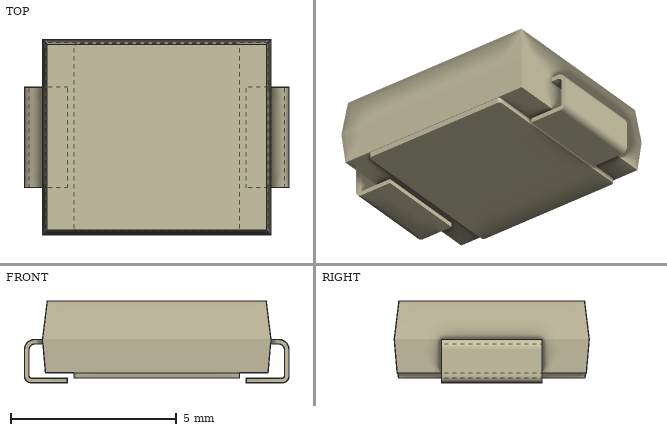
import cadquery as cq
import math

OVERALL_LENGTH = 8.0
HEIGHT = 2.48

BODY_LENGTH = 6.91
BODY_WIDTH = 5.9
PARTING_Z = 1.31
UPPER_DRAFT = 7.0
LOWER_DRAFT = 5.0

STRIP = 0.14
LEAD_WIDTH = 3.04
FOOT_LENGTH = 1.3
SHOULDER_RADIUS = 0.3
HEEL_RADIUS = 0.2
LEAD_EMBED = 0.24

PAD_LENGTH = 5.01
PAD_WIDTH = 5.7
PAD_DRAFT = 10.0
PAD_CORNER_RADIUS = 0.1
PAD_BOTTOM_Z = STRIP
BODY_BOTTOM_Z = 0.3


def body_half(end_z, draft):
    """Tapered block from the parting plane to end_z."""
    depth = end_z - PARTING_Z
    return (
        cq.Workplane("XY")
        .workplane(offset=PARTING_Z)
        .rect(BODY_LENGTH, BODY_WIDTH)
        .extrude(depth, taper=draft)
    )


def left_lead():
    """Strip leaving the body at the parting plane and curling under it."""
    outer_x = -OVERALL_LENGTH / 2
    inner_x = outer_x + STRIP
    embedded_x = -BODY_LENGTH / 2 + LEAD_EMBED
    toe_x = outer_x + FOOT_LENGTH
    shoulder_inner = SHOULDER_RADIUS - STRIP
    heel_inner = HEEL_RADIUS - STRIP
    shoulder_x = outer_x + SHOULDER_RADIUS
    shoulder_z = PARTING_Z - SHOULDER_RADIUS
    heel_x = outer_x + HEEL_RADIUS
    return (
        cq.Workplane("XZ")
        .moveTo(embedded_x, PARTING_Z)
        .lineTo(shoulder_x, PARTING_Z)
        .radiusArc((outer_x, shoulder_z), -SHOULDER_RADIUS)
        .lineTo(outer_x, HEEL_RADIUS)
        .radiusArc((heel_x, 0), -HEEL_RADIUS)
        .lineTo(toe_x, 0)
        .lineTo(toe_x, STRIP)
        .lineTo(heel_x, STRIP)
        .radiusArc((inner_x, HEEL_RADIUS), heel_inner)
        .lineTo(inner_x, shoulder_z)
        .radiusArc((shoulder_x, PARTING_Z - STRIP), shoulder_inner)
        .lineTo(embedded_x, PARTING_Z - STRIP)
        .close()
        .extrude(LEAD_WIDTH / 2, both=True)
    )


def bottom_pad():
    """Pad with upright ends, drafted long sides and rounded corners."""
    thickness = BODY_BOTTOM_Z - PAD_BOTTOM_Z
    half_top = PAD_WIDTH / 2
    half_bottom = half_top - thickness * math.tan(math.radians(PAD_DRAFT))
    blank = (
        cq.Workplane("YZ")
        .polyline([
            (-half_top, BODY_BOTTOM_Z),
            (half_top, BODY_BOTTOM_Z),
            (half_bottom, PAD_BOTTOM_Z),
            (-half_bottom, PAD_BOTTOM_Z),
        ])
        .close()
        .extrude(PAD_LENGTH / 2, both=True)
    )
    return blank.edges("#X and (not #Z)").fillet(PAD_CORNER_RADIUS)


body = body_half(HEIGHT, UPPER_DRAFT).union(body_half(BODY_BOTTOM_Z, LOWER_DRAFT))
lead = left_lead()
result = body.union(bottom_pad()).union(lead).union(lead.mirror("YZ"))